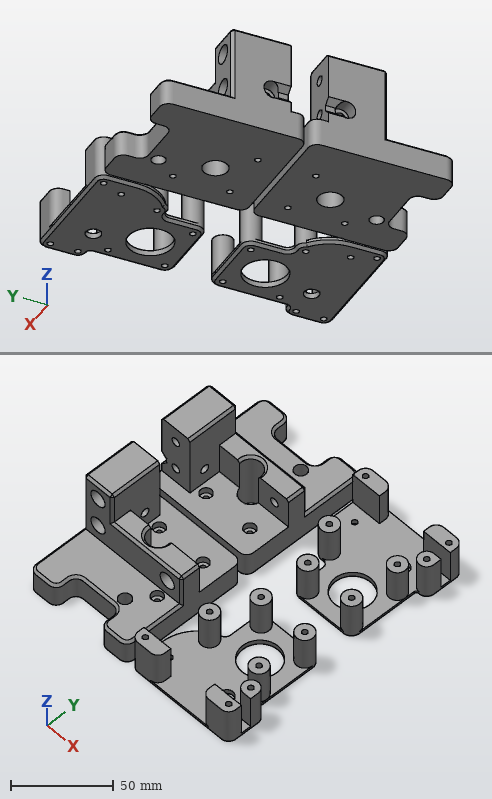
import cadquery as cq
import math


half_span = 79.5
body_width = 69.0
total_width = 141.0
corner_radius = 5.0
chamfer = 1.5
wall_inner = 10.2

motor_x = 41.0
motor_d = 31.3
screw_spacing = 31.0
screw_left = motor_x - screw_spacing / 2
screw_right = motor_x + screw_spacing / 2
screw_near = motor_d - screw_spacing / 2
screw_far = motor_d + screw_spacing / 2
screw_hole_diameter = 3.2
access_x = 46.9
access_d = 59.5

base_inner = 1.5
base_height = 15.0
end_slot_left = 19.0
end_slot_right = 50.1
end_slot_depth = 13.8
screw_head_diameter = 7.0
screw_head_depth = 4.0
motor_shaft_diameter = 13.4
housing_access_diameter = 7.5

wall_outer = 42.5
arm_inner = 30.0
column_width = 20.0
column_height = 55.0
arm_height = 35.0
bolt_hole_diameter = 5.2
bolt_head_depth = 7.5
wall_bolt_head_diameter = 10.0
bolt_inset = column_width / 2
bolt_low_z = arm_height - bolt_inset
bolt_high_z = column_height - bolt_inset
arm_bolt_x = 59.0
side_bolt_head_diameter = 9.5
side_bolt_d = 20.2
side_slot_depth = 3.3
side_slot_floor = 3.2

plate_thickness = 3.0
pillar_height = 24.0
pillar_diameter = 11.0
pillar_radius = pillar_diameter / 2
edge_boss_diameter = 10.0
edge_boss_radius = edge_boss_diameter / 2
edge_boss_x = body_width - edge_boss_radius
left_pillar_x = 15.0
left_pillar_d = 40.5
side_arc_radius = 25.0
side_arc_d = 58.4
plate_near = screw_near - pillar_radius
plate_neck_left = screw_left - pillar_radius
plate_neck_right = screw_right + pillar_radius
left_blend_radius = 4.0
right_blend_radius = 1.6
block_length = 19.0
block_depth = 8.9
plate_bore_diameter = 24.0
plate_access_diameter = 8.1
locating_hole_x = 9.9
locating_hole_d = 62.5


def block(x_start, x_end, d_near, d_far, z_start, z_end):
    """Box given by its limits along x, d and z."""
    return cq.Workplane("XY").box(
        x_end - x_start, d_far - d_near, z_end - z_start, centered=False
    ).translate((x_start, -d_far, z_start))


def upright(x, d, diameter, z_start, z_end):
    """Vertical cylinder with its seam turned between +X and +Y."""
    plane = cq.Plane(origin=(x, -d, z_start), xDir=(1, 1, 0), normal=(0, 0, 1))
    return cq.Workplane(plane).circle(diameter / 2).extrude(z_end - z_start)


def region(x_start, x_end, d_near, d_far, z_start, z_end):
    """Selector of the edges whose centres lie inside a box."""
    return cq.selectors.BoxSelector((x_start, -d_far, z_start), (x_end, -d_near, z_end))


def housing_blank():
    """Slotted base with the L-shaped wall, chamfered around the outer side."""
    base = block(0, body_width, base_inner, half_span, 0, base_height)
    slot_near = half_span - end_slot_depth
    base = base.cut(block(end_slot_left, end_slot_right, slot_near, half_span, 0, base_height))
    base = base.edges("|Z").fillet(corner_radius)
    column = block(0, column_width, wall_inner, wall_outer, 0, column_height)
    arm = block(0, body_width, arm_inner, wall_outer, 0, arm_height)
    blank = base.union(column).union(arm)

    margin = 0.2
    outer_edges = region(-margin, body_width + margin, wall_outer - margin, half_span + margin,
                         base_height - margin, column_height + margin)
    wall_foot = region(margin, body_width - margin, wall_outer - margin, wall_outer + margin,
                       base_height - margin, base_height + margin)
    column_top = region(-margin, column_width + margin, wall_inner + margin, wall_outer - margin,
                        column_height - margin, column_height + margin)
    arm_end = region(body_width - margin, body_width + margin, arm_inner + margin, wall_outer - margin,
                     arm_height - margin, arm_height + margin)
    return blank.edges(outer_edges - wall_foot + column_top + arm_end).chamfer(chamfer)


def cut_motor_seat(body):
    """Shaft hole, with the half-round notch and its chamfer in the arm, and the three motor screws."""
    radius = motor_shaft_diameter / 2
    body = body.cut(upright(motor_x, motor_d, motor_shaft_diameter, 0, arm_height))
    rim = cq.Solid.makeCone(radius, radius + chamfer, chamfer,
                            pnt=cq.Vector(motor_x, -motor_d, arm_height - chamfer))
    body = body.cut(cq.Workplane(rim))
    for x, d in [(screw_left, screw_near), (screw_right, screw_near), (screw_right, screw_far)]:
        body = body.cut(upright(x, d, screw_hole_diameter, 0, base_height))
        body = body.cut(upright(x, d, screw_head_diameter, base_height - screw_head_depth, base_height))
    return body


def cut_wall_bolts(body):
    """Counterbored bolt holes running through the wall along Y."""
    for x, z in [(bolt_inset, bolt_low_z), (bolt_inset, bolt_high_z), (arm_bolt_x, bolt_low_z)]:
        outer_face = cq.Workplane("XZ", origin=(x, -wall_outer, z))
        body = body.cut(outer_face.circle(bolt_hole_diameter / 2).extrude(wall_inner - wall_outer))
        body = body.cut(outer_face.circle(wall_bolt_head_diameter / 2).extrude(-bolt_head_depth))
    return body


def cut_side_bolt(body):
    """Counterbored hole through the column along X, with a tapered slot to the column's inner face."""
    side_face = cq.Workplane("YZ", origin=(0, -side_bolt_d, bolt_low_z))
    body = body.cut(side_face.circle(bolt_hole_diameter / 2).extrude(column_width))
    body = body.cut(side_face.circle(side_bolt_head_diameter / 2).extrude(bolt_head_depth))
    mouth = side_bolt_head_diameter / 2
    floor = side_slot_floor / 2
    slot = (
        cq.Workplane("XZ", origin=(0, -side_bolt_d, bolt_low_z))
        .polyline([(0, -mouth), (side_slot_depth, -floor), (side_slot_depth, floor), (0, mouth)])
        .close()
        .extrude(wall_inner - side_bolt_d)
    )
    return body.cut(slot)


def make_housing():
    body = housing_blank()
    body = cut_motor_seat(body)
    body = cut_wall_bolts(body)
    body = cut_side_bolt(body)
    return body.cut(upright(access_x, access_d, housing_access_diameter, 0, base_height))


def plate_sheet():
    """Thin sheet with a round left shoulder, blended bosses and a chamfered lower rim."""
    end_angle = math.atan2(left_pillar_d - side_arc_d, left_pillar_x - side_arc_radius)
    middle_angle = (end_angle - math.pi) / 2

    def shoulder_point(angle):
        x = side_arc_radius * (1 + math.cos(angle))
        return x, -(side_arc_d + side_arc_radius * math.sin(angle))

    sheet = (
        cq.Workplane("XY")
        .moveTo(0, -half_span)
        .lineTo(0, -side_arc_d)
        .threePointArc(shoulder_point(middle_angle), shoulder_point(end_angle))
        .lineTo(plate_neck_left, -left_pillar_d)
        .lineTo(plate_neck_left, -plate_near)
        .lineTo(plate_neck_right, -plate_near)
        .lineTo(plate_neck_right, -access_d)
        .lineTo(body_width, -access_d)
        .lineTo(body_width, -half_span)
        .close()
        .extrude(plate_thickness)
    )
    sheet = sheet.edges("|Z and <Y").fillet(corner_radius)
    sheet = sheet.edges("|Z and >Y").fillet(pillar_radius)
    sheet = sheet.union(upright(left_pillar_x, left_pillar_d, pillar_diameter, 0, plate_thickness))
    sheet = sheet.union(upright(edge_boss_x, access_d, edge_boss_diameter, 0, plate_thickness))

    margin = 0.2
    left_blend = region(plate_neck_left - margin, plate_neck_left + margin,
                        left_pillar_d - pillar_radius, left_pillar_d, margin, plate_thickness - margin)
    right_blend = region(plate_neck_right - margin, plate_neck_right + margin,
                         access_d - edge_boss_radius, access_d, margin, plate_thickness - margin)
    sheet = sheet.edges(left_blend).fillet(left_blend_radius)
    sheet = sheet.edges(right_blend).fillet(right_blend_radius)
    return sheet.faces("<Z").edges().chamfer(chamfer)


def corner_block(x_start):
    """Upright block on the plate's outer edge, rounded at its two outer corners."""
    shape = block(x_start, x_start + block_length, half_span - block_depth, half_span,
                  plate_thickness, pillar_height)
    return shape.edges("|Z and <Y").fillet(corner_radius)


def make_plate():
    body = plate_sheet()
    pillars = [
        (screw_left, screw_near),
        (screw_right, screw_near),
        (screw_right, screw_far),
        (left_pillar_x, left_pillar_d),
    ]
    for x, d in pillars:
        body = body.union(upright(x, d, pillar_diameter, plate_thickness, pillar_height))
    body = body.union(upright(edge_boss_x, access_d, edge_boss_diameter, plate_thickness, pillar_height))
    body = body.union(block(edge_boss_x, body_width, access_d, access_d + edge_boss_radius,
                            plate_thickness, pillar_height))
    for x_start in (0, body_width - block_length):
        body = body.union(corner_block(x_start))

    corner_hole_d = half_span - edge_boss_radius
    small_holes = pillars + [
        (edge_boss_x, access_d),
        (edge_boss_radius, corner_hole_d),
        (edge_boss_x, corner_hole_d),
        (locating_hole_x, locating_hole_d),
    ]
    for x, d in small_holes:
        body = body.cut(upright(x, d, screw_hole_diameter, 0, pillar_height))
    body = body.cut(upright(motor_x, motor_d, plate_bore_diameter, 0, pillar_height))
    body = body.cut(upright(access_x, access_d, plate_access_diameter, 0, pillar_height))
    return body.translate((total_width - body_width, 0, 0))


bodies = []
for make_body in (make_housing, make_plate):
    body = make_body().solids()
    bodies.append(body.val())
    bodies.append(body.val().mirror("XZ"))

result = cq.Compound.makeCompound(bodies)